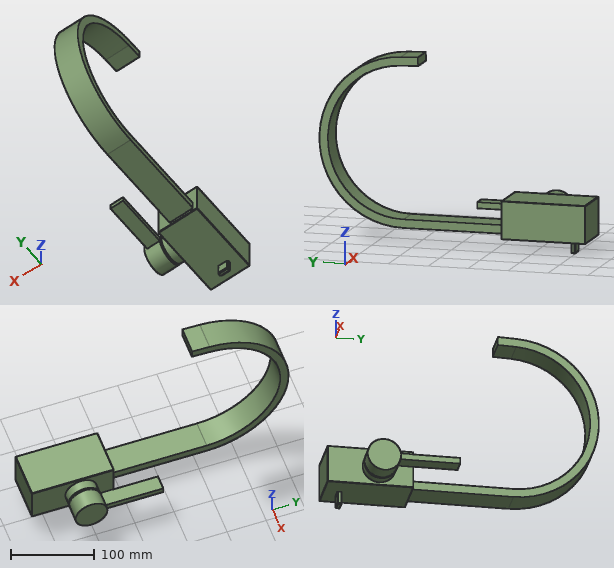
import cadquery as cq
import math


housing_width = 59.0
housing_length = 105.0
housing_height = 47.2
housing_chamfer = 0.7

pin_width = 15.5
pin_depth = 6.0
pin_height = 15.7
pin_center_x = 23.8
pin_center_y = 19.8
pin_chamfer = 1.5

spout_width = 35.0
spout_thickness = 10.7
spout_bottom_z = 21.5
spout_tip_rise = 2
spout_tip_length = 22.0
total_length = 334.8
total_height = 232.0

total_width = 96.5
collar_diameter = 40.2
knob_diameter = 41.0
control_center_y = 63.0
control_center_z = pin_height + housing_height / 2
collar_length = 12.0
neck_diameter = 38.2
neck_length = 2.0
lever_width = 19.0
lever_thickness = 7.7
lever_end_y = 156.5
lever_bottom_z = 36.5

collar_end_x = housing_width + collar_length
knob_start_x = collar_end_x + neck_length


def make_housing():
    """Block with a narrow chamfer along every edge."""
    block = cq.Workplane("XY").box(housing_width, housing_length, housing_height, centered=False)
    block = block.edges().chamfer(housing_chamfer)
    return block.translate((0, 0, pin_height))


def make_pin():
    """Rectangular pin with chamfered corners and lower end."""
    pin = cq.Workplane("XY").center(pin_center_x, pin_center_y)
    pin = pin.rect(pin_width, pin_depth).extrude(pin_height)
    return pin.edges("|Z or <Z").chamfer(pin_chamfer)


def make_spout():
    """Straight run, arc of just under half a turn, and a short straight tip."""
    rise = math.radians(spout_tip_rise)
    tip_climb = spout_tip_length * math.sin(rise)
    outer_radius = (total_height - spout_bottom_z - tip_climb) / (1 + math.cos(rise))
    inner_radius = outer_radius - spout_thickness
    center_y = total_length - outer_radius
    center_z = spout_bottom_z + outer_radius

    def arc_end(radius):
        return center_y + radius * math.sin(rise), center_z + radius * math.cos(rise)

    def tip_end(radius):
        y, z = arc_end(radius)
        return y - spout_tip_length * math.cos(rise), z + tip_climb

    outline = (
        cq.Workplane("YZ")
        .moveTo(housing_length, spout_bottom_z)
        .lineTo(center_y, spout_bottom_z)
        .threePointArc((total_length, center_z), arc_end(outer_radius))
        .lineTo(*tip_end(outer_radius))
        .lineTo(*tip_end(inner_radius))
        .lineTo(*arc_end(inner_radius))
        .threePointArc((center_y + inner_radius, center_z), (center_y, center_z - inner_radius))
        .lineTo(housing_length, spout_bottom_z + spout_thickness)
        .close()
    )
    return outline.extrude(spout_width).translate((pin_center_x - spout_width / 2, 0, 0))


def control_disc(start_x, length, diameter):
    """Round disc on the control's axis, which runs along X."""
    disc = cq.Workplane("YZ").circle(diameter / 2).extrude(length)
    return disc.translate((start_x, control_center_y, control_center_z))


def make_collar():
    """Fixed collar with the narrower neck that meets the knob."""
    collar = control_disc(housing_width, collar_length, collar_diameter)
    return collar.union(control_disc(collar_end_x, neck_length, neck_diameter))


def make_lever(knob):
    """Flat bar whose near end is shaped to the knob's round side."""
    bar = cq.Workplane("XY").box(
        lever_width, lever_end_y - control_center_y, lever_thickness, centered=False
    )
    return bar.translate((knob_start_x, control_center_y, lever_bottom_z)).cut(knob)


housing = make_housing()
pin = make_pin()
spout = make_spout()
collar = make_collar()
knob = control_disc(knob_start_x, total_width - knob_start_x, knob_diameter)
lever = make_lever(knob)

result = cq.Compound.makeCompound(
    [housing.val(), pin.val(), spout.val(), collar.val(), knob.val(), lever.val()]
)